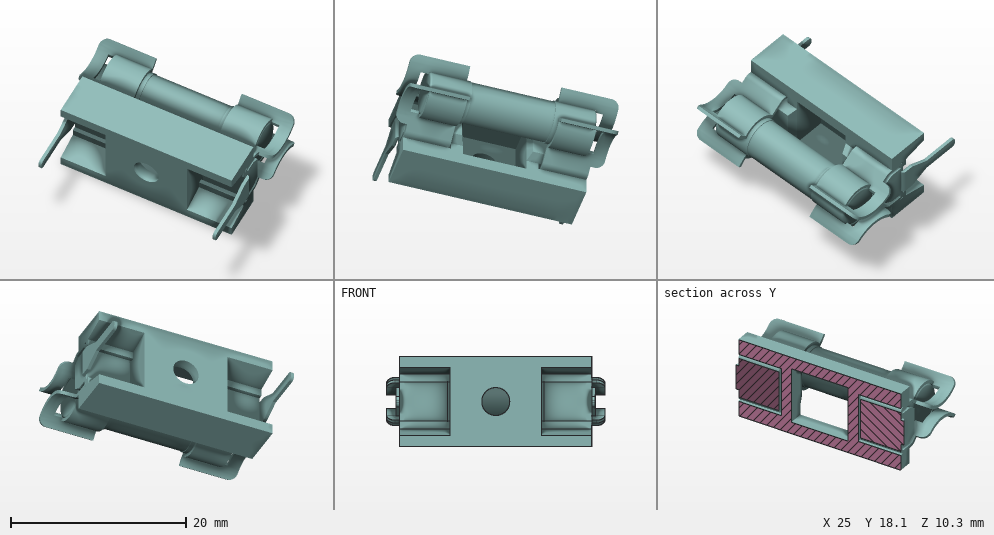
import cadquery as cq
import math


housing_half_length = 11.0
housing_depth = 5.4
housing_half_height = 5.15
mounting_hole_diameter = 3.2
recess_floor = 1.4
recess_half_height = 3.56

sheet = 0.4
clip_half_height = 3.12
clip_base_front = 3.5
clip_base_back = clip_base_front + sheet
clip_outer_end = -housing_half_length
clip_inner_end = -5.5
base_bend_radius = 0.2
knee_bend_radius = 0.5

pocket_end = -5.25
pocket_mouth_half_height = 3.9
pocket_floor = 3.0
pocket_floor_half_height = 3.15
block_half_height = 2.25
block_back = 6.45
block_back_half_height = 1.65
recess_half_length = 3.8
block_end = -recess_half_length
block_back_end = -4.25

fuse_axis_y = 10.0
fuse_half_length = 10.0
cap_diameter = 5.0
cap_length = 5.0
cap_edge_radius = 0.25
tube_diameter = 4.8

bow_radius = 4.0
bow_center_y = 9.9
bow_center_z = 4.97
bow_inner_radius = bow_radius + sheet / 2
bow_outer_radius = bow_radius - sheet / 2
root_angle = math.radians(37)
tip_reach = 3.42
tip_angle = math.asin(tip_reach / bow_inner_radius)

frame_end = -12.5
frame_corner_radius = 1.0
frame_bottom_y = 6.8
window_half_width = 1.85
grip_outer_radius = cap_diameter / 2 + sheet

terminal_half_width = 1.63
terminal_taper_start = 2.4
pin_half_width = 0.6
pin_tip = -4.8
pin_tip_radius = 0.5


def span_x(x_start, x_end, sketch):
    """Extrude a closed YZ sketch between two X positions."""
    plane = cq.Workplane("YZ").workplane(offset=x_start)
    return sketch(plane).extrude(x_end - x_start)


def block_x(x_start, x_end, y_start, y_end, z_start, z_end):
    """Axis-aligned box given by its limits."""
    size = (x_end - x_start, y_end - y_start, z_end - z_start)
    return cq.Workplane("XY").box(*size, centered=False).translate((x_start, y_start, z_start))


def cylinder_x(x_start, x_end, radius, center=(fuse_axis_y, 0)):
    """Cylinder along X, by default about the fuse axis; center is given as (Y, Z)."""
    return span_x(x_start, x_end, lambda plane: plane.center(*center).circle(radius))


def both_ends(body):
    """The body at the -X end and its mirror copy at the +X end."""
    return [body, body.mirror("YZ")]


def make_block():
    """Block inside the clip, tapered behind the back face of the housing."""
    stem = block_x(
        -housing_half_length, pocket_end, clip_base_back, housing_depth, -block_half_height, block_half_height
    )
    nose = span_x(
        -housing_half_length,
        block_end,
        lambda plane: plane.polyline(
            [
                (housing_depth, -block_half_height),
                (block_back, -block_back_half_height),
                (block_back, block_back_half_height),
                (housing_depth, block_half_height),
            ]
        ).close(),
    )
    end_slope = (
        cq.Workplane("XY")
        .polyline([(block_end, housing_depth), (block_end, block_back), (block_back_end, block_back)])
        .close()
        .extrude(block_half_height, both=True)
    )
    return stem.union(nose.cut(end_slope))


def make_pocket():
    """Tapered pocket in the mounting face, with a channel through to the clip slot."""
    mouth = span_x(
        -housing_half_length,
        pocket_end,
        lambda plane: plane.polyline(
            [
                (0, -pocket_mouth_half_height),
                (pocket_floor, -pocket_floor_half_height),
                (pocket_floor, pocket_floor_half_height),
                (0, pocket_mouth_half_height),
            ]
        ).close(),
    )
    channel = block_x(
        -housing_half_length, pocket_end, pocket_floor, clip_base_front, -block_half_height, block_half_height
    )
    return mouth.union(channel)


def make_housing():
    """Body open at the back, with a pocket, a clip slot and a block at each end."""
    housing = block_x(
        -housing_half_length, housing_half_length, 0, housing_depth, -housing_half_height, housing_half_height
    )
    clip_slot = block_x(
        -housing_half_length, pocket_end, clip_base_front, housing_depth, -clip_half_height, clip_half_height
    )
    for cutter in both_ends(make_pocket().union(clip_slot)):
        housing = housing.cut(cutter)
    for block in both_ends(make_block()):
        housing = housing.union(block)
    mounting_hole = cq.Workplane("XZ").circle(mounting_hole_diameter / 2).extrude(-housing_depth)
    back_recess = block_x(
        -recess_half_length,
        recess_half_length,
        recess_floor,
        housing_depth,
        -recess_half_height,
        recess_half_height,
    )
    return housing.cut(mounting_hole).cut(back_recess)


def bow_point(radius, angle):
    """Point (Y, Z) on the bow of the upper arm; angle 0 is nearest to the fuse axis."""
    return (bow_center_y + radius * math.sin(angle), bow_center_z - radius * math.cos(angle))


def knee_point(radius, z):
    """Point where the sloped stretch, tangent to the bow, meets the straight arm at height z."""
    root_y, root_z = bow_point(radius, -root_angle)
    return (root_y - (z - root_z) / math.tan(root_angle), z)


def make_arm():
    """Upper half of the clip: half of the base, straight arm, sloped stretch and bow."""
    arm_inner_z = clip_half_height - sheet
    outer_knee = knee_point(bow_outer_radius, clip_half_height)
    inner_knee = knee_point(bow_inner_radius, arm_inner_z)
    outer_corner = (clip_base_front, clip_half_height)
    inner_corner = (clip_base_back, arm_inner_z)
    arm = span_x(
        frame_end,
        clip_inner_end,
        lambda plane: plane.moveTo(clip_base_front, 0)
        .lineTo(*outer_corner)
        .lineTo(*outer_knee)
        .lineTo(*bow_point(bow_outer_radius, -root_angle))
        .threePointArc(bow_point(bow_outer_radius, 0), bow_point(bow_outer_radius, tip_angle))
        .lineTo(*bow_point(bow_inner_radius, tip_angle))
        .threePointArc(bow_point(bow_inner_radius, 0), bow_point(bow_inner_radius, -root_angle))
        .lineTo(*inner_knee)
        .lineTo(*inner_corner)
        .lineTo(clip_base_back, 0)
        .close(),
    )
    bends = [
        (outer_corner, base_bend_radius + sheet),
        (inner_corner, base_bend_radius),
        (outer_knee, knee_bend_radius + sheet),
        (inner_knee, knee_bend_radius),
    ]
    middle_x = (frame_end + clip_inner_end) / 2
    for (y, z), radius in bends:
        arm = arm.edges("|X").edges(cq.NearestToPointSelector((middle_x, y, z))).fillet(radius)
    return trim_frame(arm)


def trim_frame(arm):
    """Cut the arm back below the frame and round the outer corners of the frame."""
    root_y, root_z = bow_point(bow_radius, -root_angle)
    bottom_z = root_z + (root_y - frame_bottom_y) * math.tan(root_angle)
    slope_step = block_x(frame_end, clip_outer_end, -housing_depth, 0, -clip_half_height, clip_half_height)
    slope_step = slope_step.rotate((0, 0, 0), (1, 0, 0), -math.degrees(root_angle))
    arm = arm.cut(slope_step.translate((0, frame_bottom_y, bottom_z)))
    base_overhang = block_x(frame_end, clip_outer_end, 0, housing_depth, 0, clip_half_height)
    arm = arm.cut(base_overhang)
    corners = [(frame_bottom_y, bottom_z), bow_point(bow_radius, tip_angle)]
    for y, z in corners:
        arm = arm.edges(cq.NearestToPointSelector((frame_end, y, z))).fillet(frame_corner_radius)
    return arm


def add_grip(arm):
    """Open the window in the bow and add the tongue curved around the fuse cap."""
    window = block_x(
        clip_outer_end,
        -fuse_half_length,
        fuse_axis_y - window_half_width,
        fuse_axis_y + window_half_width,
        0,
        clip_half_height,
    )
    cap_space = cylinder_x(-fuse_half_length, clip_inner_end, cap_diameter / 2)
    tongue = cylinder_x(-fuse_half_length, clip_inner_end, grip_outer_radius).cut(cap_space)
    bow_side = cylinder_x(-fuse_half_length, clip_inner_end, bow_inner_radius, (bow_center_y, bow_center_z))
    return arm.cut(window).cut(cap_space).union(tongue.intersect(bow_side))


def make_terminal():
    """Tab bent from the clip base towards -Y, narrowing to a round-ended pin."""
    terminal = span_x(
        clip_outer_end - sheet,
        clip_outer_end,
        lambda plane: plane.polyline(
            [
                (clip_base_back, terminal_half_width),
                (terminal_taper_start, terminal_half_width),
                (0, pin_half_width),
                (pin_tip, pin_half_width),
                (pin_tip, -pin_half_width),
                (0, -pin_half_width),
                (terminal_taper_start, -terminal_half_width),
                (clip_base_back, -terminal_half_width),
            ]
        ).close(),
    )
    terminal = terminal.edges("|X").edges("<Y").fillet(pin_tip_radius)
    bend_space = block_x(
        clip_outer_end - sheet,
        clip_outer_end,
        clip_base_front,
        clip_base_back,
        -terminal_half_width,
        terminal_half_width,
    )
    bend = (
        cq.Workplane("XY")
        .center(clip_outer_end, clip_base_front)
        .circle(sheet)
        .extrude(terminal_half_width, both=True)
    )
    return terminal.cut(bend_space.cut(bend))


def make_clip():
    """Two mirrored arms and the solder terminal, as one bent sheet."""
    arm = add_grip(make_arm())
    return arm.union(arm.mirror("XY")).union(make_terminal())


def make_cap():
    """End cap of the fuse, with its outer edge rounded."""
    cap = cylinder_x(-fuse_half_length, -fuse_half_length + cap_length, cap_diameter / 2)
    return cap.faces("<X").edges().fillet(cap_edge_radius)


def make_tube():
    """Fuse tube, butting against the two caps."""
    tube_half_length = fuse_half_length - cap_length
    return cylinder_x(-tube_half_length, tube_half_length, tube_diameter / 2)


housing = make_housing()
tube = make_tube()
clips = both_ends(make_clip())
caps = both_ends(make_cap())

result = cq.Compound.makeCompound(
    [
        housing.val(),
        tube.val(),
        *[clip.val() for clip in clips],
        *[cap.val() for cap in caps],
    ]
)